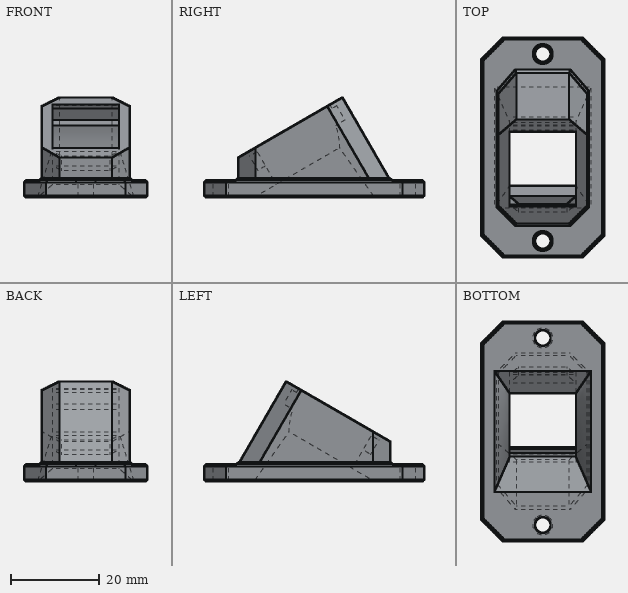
import cadquery as cq
import math

plate_width = 28
plate_length = 50
plate_height = 4
plate_corner = 5
plate_chamfer = 0.5

hole_diameter = 3.5
hole_spacing = 42.5
countersink = 0.5

total_height = 22.8
face_angle = math.radians(30)
housing_width = 20
housing_corner = 4
housing_front_y = -17.3
peak_y = 6.4
foot_size = 0.5

socket_width = 15
socket_length = 19.6
socket_depth = 9.6
socket_margin = 4.45
lip_depth = 1
ledge_depth = 4.75
front_notch = 2
back_notch = 1.25
ledge_inset = 1.15
latch_inset = 3
latch_sag = -0.2
cut_overshoot = 0.5

opening_width = 22
opening_length = 27.5

cos_face = math.cos(face_angle)
sin_face = math.sin(face_angle)
front_top_z = total_height - (peak_y - housing_front_y) * math.tan(face_angle)


def back_wall_y(z):
    """Y of the leaning back wall at height z."""
    return peak_y + (total_height - z) * math.tan(face_angle)


def make_plate():
    return (
        cq.Workplane("XY")
        .box(plate_width, plate_length, plate_height, centered=(True, True, False))
        .edges("|Z").chamfer(plate_corner)
        .faces("<Z or >Z").edges().chamfer(plate_chamfer)
    )


def make_housing():
    block = (
        cq.Workplane("YZ")
        .moveTo(housing_front_y, plate_height)
        .lineTo(back_wall_y(plate_height), plate_height)
        .lineTo(peak_y, total_height)
        .lineTo(housing_front_y, front_top_z)
        .close()
        .extrude(housing_width / 2, both=True)
    )
    back_edges = cq.selectors.ParallelDirSelector(cq.Vector(0, -sin_face, cos_face))
    return block.edges("|Z").chamfer(housing_corner).edges(back_edges).chamfer(housing_corner)


def housing_outline(z, margin):
    """Eight-sided housing section at height z, grown outward by margin."""
    side_x = housing_width / 2 + margin
    corner = housing_corner + margin * (2 - math.sqrt(2))
    end_x = side_x - corner
    front_y = housing_front_y - margin
    back_y = back_wall_y(z) + margin
    front_side_y = front_y + corner
    back_side_y = back_y - corner / cos_face
    right = [(end_x, front_y), (side_x, front_side_y), (side_x, back_side_y), (end_x, back_y)]
    left = [(-x, y) for x, y in reversed(right)]
    return cq.Wire.makePolygon([cq.Vector(x, y, z) for x, y in right + left], close=True)


def make_foot():
    """Sloped skirt where the housing meets the plate."""
    lower = housing_outline(plate_height, foot_size)
    upper = housing_outline(plate_height + foot_size, 0)
    return cq.Workplane(cq.Solid.makeLoft([lower, upper], True))


socket_plane = cq.Plane(
    origin=(
        0,
        housing_front_y + socket_margin * cos_face,
        front_top_z + socket_margin * sin_face,
    ),
    xDir=(0, cos_face, sin_face),
    normal=(1, 0, 0),
)


def make_socket():
    latch_end = socket_length - latch_inset
    return (
        cq.Workplane(socket_plane)
        .moveTo(0, cut_overshoot)
        .lineTo(0, -lip_depth)
        .lineTo(-front_notch, -lip_depth)
        .lineTo(-front_notch, -ledge_depth)
        .lineTo(0, -ledge_depth)
        .lineTo(0, -socket_depth)
        .lineTo(latch_end, -socket_depth)
        .sagittaArc((socket_length - ledge_inset, -ledge_depth), latch_sag)
        .lineTo(socket_length + back_notch, -ledge_depth)
        .lineTo(socket_length + back_notch, -lip_depth)
        .lineTo(socket_length, -lip_depth)
        .lineTo(socket_length, cut_overshoot)
        .close()
        .extrude(socket_width / 2, both=True)
    )


def socket_floor_point(x, along):
    y_z = socket_plane.toWorldCoords((along, -socket_depth))
    return cq.Vector(x, y_z.y, y_z.z)


def make_notch_corners():
    """Material left in the front notch, giving it 45 degree corners."""
    corners = cq.Workplane()
    face_plane = cq.Plane(
        origin=socket_plane.toWorldCoords((0, -ledge_depth)),
        xDir=(1, 0, 0),
        normal=(0, -sin_face, cos_face),
    )
    for side in (-1, 1):
        outer_x = side * socket_width / 2
        inner_x = outer_x - side * front_notch
        corner = (
            cq.Workplane(face_plane)
            .polyline([(outer_x, 0), (outer_x, -front_notch), (inner_x, -front_notch)])
            .close()
            .extrude(ledge_depth - lip_depth)
        )
        corners = corners.add(corner)
    return corners.combine()


def make_cable_opening():
    """Flared passage from the socket floor to the underside."""
    half_socket = socket_width / 2
    latch_end = socket_length - latch_inset
    half_width = opening_width / 2
    half_length = opening_length / 2
    top = [
        socket_floor_point(-half_socket, 0),
        socket_floor_point(half_socket, 0),
        socket_floor_point(half_socket, latch_end),
        socket_floor_point(-half_socket, latch_end),
    ]
    bottom = [
        cq.Vector(-half_width, -half_length, 0),
        cq.Vector(half_width, -half_length, 0),
        cq.Vector(half_width, half_length, 0),
        cq.Vector(-half_width, half_length, 0),
    ]
    wires = [cq.Wire.makePolygon(points, close=True) for points in (bottom, top)]
    return cq.Workplane(cq.Solid.makeLoft(wires, True))


def make_screw_hole():
    hole_radius = hole_diameter / 2
    return (
        cq.Workplane("XZ")
        .moveTo(0, 0)
        .lineTo(hole_radius, 0)
        .lineTo(hole_radius, plate_height - countersink)
        .lineTo(hole_radius + countersink, plate_height)
        .lineTo(0, plate_height)
        .close()
        .revolve(360, (0, 0), (0, 1))
    )


result = make_plate().union(make_housing()).union(make_foot())
result = result.cut(make_socket().cut(make_notch_corners())).cut(make_cable_opening())
for hole_y in (-hole_spacing / 2, hole_spacing / 2):
    result = result.cut(make_screw_hole().translate((0, hole_y, 0)))